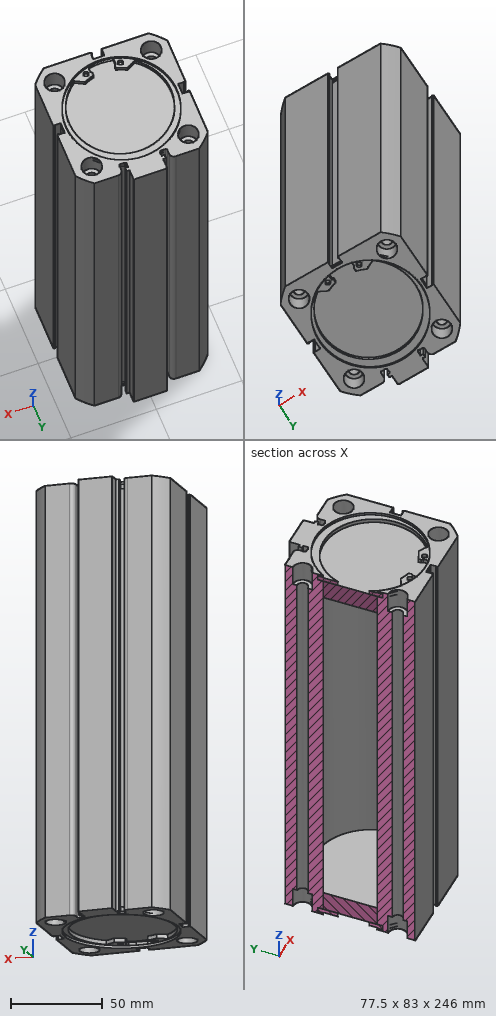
import cadquery as cq
import math

length = 246.0
width = 77.5
depth = 83.0
half_width = width / 2
corner_radius = 49.5

rail_top = depth - half_width
rail_half_width = 9.8
nub_reach = 1.7
nub_top = 38.0
nub_bottom = 35.7
groove_floor = 32.5
groove_floor_fillet = 1.0
groove_outer = 14.0
groove_rounding = 2.7
rail_chamfer = 0.37

hole_offset = 28.3
hole_radius = 3.2
counterbore_radius = 5.7
counterbore_depth = 12.3

bore_radius = 32.5
ring_radius = 34.2
ring_inset = 1.5
ring_thickness = 2.34
cover_thickness = 12.3

slot_web = 0.2
slot_floor = ring_radius + slot_web
slot_lip = 1.0
slot_half_mouth = 2.7
slot_half_width = 3.2
slot_chamfer = 0.5

ring_inner_radius = 29.8
ring_inner_shift = 2.1
gap_half_width = 7.5
lug_overhang = 0.85
lug_crest_radius = 26.3
lug_crest_x = 12.3
lug_root = (18.2, -26.3)
lug_tip_bottom = -28.3
lug_hole_x = 10.0
lug_hole_y = -27.8
lug_hole_radius = 1.5


def rail_groove(side):
    """Cutter for the undercut groove beside the rail; side is +1 for +X, -1 for -X."""
    rounding_bottom = half_width - groove_rounding
    rounding_end = (side * (groove_outer + groove_rounding), half_width)
    outline = (
        cq.Workplane("XY")
        .moveTo(side * rail_half_width, groove_floor)
        .lineTo(side * rail_half_width, nub_bottom)
        .lineTo(side * (rail_half_width + nub_reach), nub_bottom)
        .lineTo(side * (rail_half_width + nub_reach), nub_top)
        .lineTo(side * rail_half_width, nub_top)
        .lineTo(side * rail_half_width, half_width)
        .lineTo(*rounding_end)
        .radiusArc((side * groove_outer, rounding_bottom), -side * groove_rounding)
        .lineTo(side * groove_outer, groove_floor)
        .close()
    )
    cutter = outline.extrude(length)
    return cutter.faces("<Y").edges("|Z").fillet(groove_floor_fillet)


def t_slot(angle):
    """Cutter for a T-slot in the side that faces the given angle from +X."""
    lip_bottom = half_width - slot_lip
    chamfer_bottom = half_width - slot_chamfer
    half_outline = [
        (slot_floor, slot_half_width),
        (lip_bottom, slot_half_width),
        (lip_bottom, slot_half_mouth),
        (chamfer_bottom, slot_half_mouth),
        (half_width, slot_half_mouth + slot_chamfer),
    ]
    mirrored = [(x, -y) for x, y in reversed(half_outline)]
    slot = cq.Workplane("XY").polyline(half_outline + mirrored).close().extrude(length)
    return slot.rotate((0, 0, 0), (0, 0, 1), angle)


def disc(radius, bottom, height):
    return cq.Workplane("XY").workplane(offset=bottom).circle(radius).extrude(height)


def screw_holes(radius, bottom, height):
    spacing = 2 * hole_offset
    return (
        cq.Workplane("XY")
        .workplane(offset=bottom)
        .rect(spacing, spacing, forConstruction=True)
        .vertices()
        .circle(radius)
        .extrude(height)
    )


lower_ring_bottom = ring_inset
upper_ring_bottom = length - ring_inset - ring_thickness
ring_bottoms = (lower_ring_bottom, upper_ring_bottom)
cover_bottoms = (lower_ring_bottom + ring_thickness, upper_ring_bottom - cover_thickness)


def make_housing():
    housing = cq.Workplane("XY").rect(width, width).extrude(length)
    housing = housing.intersect(disc(corner_radius, 0, length))
    rail = (
        cq.Workplane("XY")
        .center(0, rail_top / 2)
        .rect(2 * rail_half_width, rail_top)
        .extrude(length)
        .faces(">Y")
        .edges("|Z")
        .chamfer(rail_chamfer)
    )
    housing = housing.union(rail)
    for side in (-1, 1):
        housing = housing.cut(rail_groove(side))
    for angle in (0, 180, 270):
        housing = housing.cut(t_slot(angle))
    housing = housing.cut(screw_holes(hole_radius, 0, length))
    for bottom in (0, length - counterbore_depth):
        housing = housing.cut(screw_holes(counterbore_radius, bottom, counterbore_depth))
    housing = housing.cut(disc(bore_radius, 0, length))
    for bottom in ring_bottoms:
        housing = housing.cut(disc(ring_radius, bottom, ring_thickness))
    return housing


def make_cover(bottom):
    return disc(bore_radius, bottom, cover_thickness)


def ring_lug(side, bottom):
    """Lug at one end of the ring, reaching out past the ring's outer edge; side is +1 or -1."""
    tip_x = gap_half_width - lug_overhang
    crest_mid_x = (lug_crest_x + tip_x) / 2

    def crest_point(x):
        return (side * x, -math.sqrt(lug_crest_radius**2 - x**2))

    outline = (
        cq.Workplane("XY")
        .workplane(offset=bottom)
        .moveTo(side * gap_half_width, -ring_radius)
        .lineTo(side * gap_half_width, lug_tip_bottom)
        .lineTo(side * tip_x, lug_tip_bottom + lug_overhang)
        .lineTo(*crest_point(tip_x))
        .threePointArc(crest_point(crest_mid_x), crest_point(lug_crest_x))
        .lineTo(side * lug_root[0], lug_root[1])
        .lineTo(side * lug_root[0], -ring_radius)
        .close()
    )
    return outline.extrude(ring_thickness)


def make_ring(bottom):
    """Eccentric retaining ring, open towards -Y, with a pierced lug at each end."""
    plane = cq.Workplane("XY").workplane(offset=bottom)
    opening = plane.center(0, -ring_inner_shift).circle(ring_inner_radius).extrude(ring_thickness)
    gap = (
        plane.center(0, -ring_radius / 2)
        .rect(2 * gap_half_width, ring_radius)
        .extrude(ring_thickness)
    )
    outside = disc(ring_radius, bottom, ring_thickness)
    ring = outside.cut(opening).cut(gap)
    for side in (-1, 1):
        ring = ring.union(ring_lug(side, bottom).intersect(outside))
    hole_points = [(-lug_hole_x, lug_hole_y), (lug_hole_x, lug_hole_y)]
    return ring.cut(plane.pushPoints(hole_points).circle(lug_hole_radius).extrude(ring_thickness))


housing = make_housing()
covers = [make_cover(bottom).val() for bottom in cover_bottoms]
rings = [make_ring(bottom).val() for bottom in ring_bottoms]

result = cq.Compound.makeCompound([housing.val(), *covers, *rings])